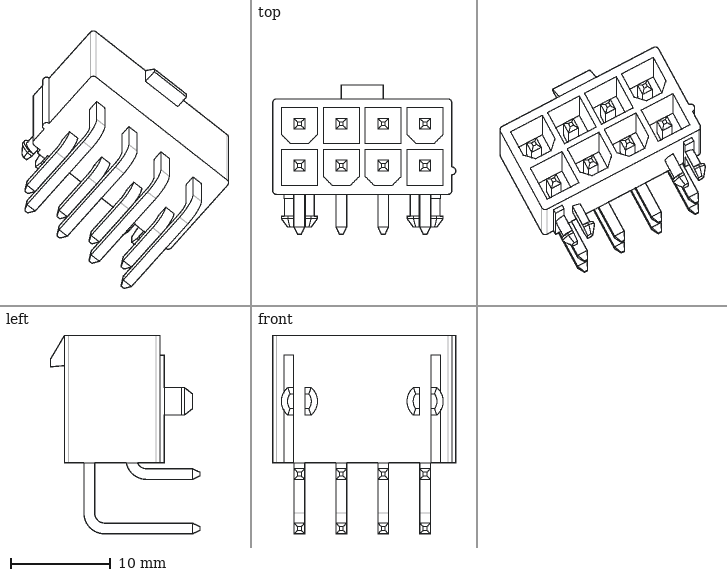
import cadquery as cq
import math


columns = 4
pitch = 4.2
total_height = 19.93

body_width = 18.0
body_depth = 9.6
body_height = 12.8
corner_radius = 0.4
key_radius = 0.4
key_from_front = 2.37

socket_size = 3.6
socket_depth = 9.96
socket_chamfer = 0.92

pin_size = 1.1
pin_row_shift = 0.2
pin_bend_inner_radius = 1.0
pin_reach = 4.0
pin_tip_length = 0.75
pin_tip_size = 0.38
pin_top_recess = 3.19
pin_leg_spacing = 5.46

latch_width = 4.23
latch_reach = 1.4
latch_ramp_height = 2.37
latch_tip_bottom = 3.17
latch_root_bottom = 3.05

peg_shaft_radius = 1.51
peg_head_radius = 1.81
peg_end_radius = 1.2
peg_half_height = 1.4
peg_end_half_height = 0.74
peg_shaft_length = 2.17
peg_taper_start = 2.43
peg_length = 3.27
peg_slot = 1.15
peg_from_top = 6.62
rib_width = 0.98
rib_thickness = 0.42
rib_from_top = 2.0

front_y = -body_depth / 2
back_y = body_depth / 2
side_x = body_width / 2
column_xs = [(i - (columns - 1) / 2) * pitch for i in range(columns)]
row_ys = [-pitch / 2, pitch / 2]
lower_leg_z = body_height - total_height + pin_size / 2
leg_zs = [lower_leg_z + pin_leg_spacing, lower_leg_z]
peg_x = column_xs[-1]
peg_z = body_height - peg_from_top


def housing():
    block = (
        cq.Workplane("XY")
        .rect(body_width, body_depth)
        .extrude(body_height)
        .edges("|Z")
        .fillet(corner_radius)
    )
    key = (
        cq.Workplane("XY")
        .center(side_x, front_y + key_from_front)
        .circle(key_radius)
        .extrude(body_height)
    )
    return block.union(key)


def socket(x, y, keyed):
    """Square cavity; a keyed one has its two front corners cut off."""
    cavity = (
        cq.Workplane("XY", origin=(x, y, body_height - socket_depth))
        .rect(socket_size, socket_size)
        .extrude(socket_depth)
    )
    if keyed:
        cavity = cavity.edges("|Z and <Y").chamfer(socket_chamfer)
    return cavity


def pin_tip(plane):
    """Blunt pyramid that starts on the given plane and narrows along its normal."""
    return (
        cq.Workplane(plane)
        .rect(pin_size, pin_size)
        .workplane(offset=pin_tip_length)
        .rect(pin_tip_size, pin_tip_size)
        .loft(ruled=True)
    )


def pin(x, y, leg_z):
    """Upright square pin, bent forward into a horizontal leg, pointed at both ends."""
    bend_radius = pin_bend_inner_radius + pin_size / 2
    bend_offset = bend_radius * (1 - math.sqrt(0.5))
    top_z = body_height - pin_top_recess - pin_tip_length
    leg_end_y = front_y - pin_reach + pin_tip_length
    path = (
        cq.Workplane("YZ", origin=(x, 0, 0))
        .moveTo(y, top_z)
        .lineTo(y, leg_z + bend_radius)
        .threePointArc((y - bend_offset, leg_z + bend_offset), (y - bend_radius, leg_z))
        .lineTo(leg_end_y, leg_z)
    )
    bar = cq.Workplane("XY", origin=(x, y, top_z)).rect(pin_size, pin_size).sweep(path)
    top_tip = pin_tip(cq.Plane((x, y, top_z), (1, 0, 0), (0, 0, 1)))
    leg_tip = pin_tip(cq.Plane((x, leg_end_y, leg_z), (1, 0, 0), (0, -1, 0)))
    return bar.union(top_tip).union(leg_tip)


def latch():
    return (
        cq.Workplane("YZ", origin=(-latch_width / 2, 0, 0))
        .moveTo(back_y, body_height)
        .lineTo(back_y + latch_reach, body_height - latch_ramp_height)
        .lineTo(back_y + latch_reach, body_height - latch_tip_bottom)
        .lineTo(back_y, body_height - latch_root_bottom)
        .close()
        .extrude(latch_width)
    )


def peg(x):
    """Barbed round peg with flattened top and bottom, split by a vertical slot."""
    turned = (
        cq.Workplane("XY")
        .lineTo(peg_shaft_radius, 0)
        .lineTo(peg_shaft_radius, -peg_shaft_length)
        .lineTo(peg_head_radius, -peg_shaft_length)
        .lineTo(peg_head_radius, -peg_taper_start)
        .lineTo(peg_end_radius, -peg_length)
        .lineTo(0, -peg_length)
        .close()
        .revolve(360, (0, 0, 0), (0, 1, 0))
    )
    flattened = (
        cq.Workplane("YZ")
        .moveTo(0, peg_half_height)
        .lineTo(-peg_taper_start, peg_half_height)
        .lineTo(-peg_length, peg_end_half_height)
        .lineTo(-peg_length, -peg_end_half_height)
        .lineTo(-peg_taper_start, -peg_half_height)
        .lineTo(0, -peg_half_height)
        .close()
        .extrude(peg_head_radius, both=True)
    )
    slot = cq.Workplane("XY").box(peg_slot, 2 * peg_length, 2 * peg_head_radius)
    return turned.intersect(flattened).cut(slot).translate((x, front_y, peg_z))


def standoff_rib(side):
    """Rib along the outer edge of the peg slot; side is -1 or +1 in X."""
    rib_x = side * (peg_x + (peg_slot + rib_width) / 2)
    rib_height = body_height - rib_from_top
    return (
        cq.Workplane("XY", origin=(rib_x, front_y - rib_thickness / 2, 0))
        .rect(rib_width, rib_thickness)
        .extrude(rib_height)
    )


result = housing().union(latch())
for side in (-1, 1):
    result = result.union(peg(side * peg_x)).union(standoff_rib(side))

for row, y in enumerate(row_ys):
    for column, x in enumerate(column_xs):
        outer_column = column in (0, columns - 1)
        back_row = row == 1
        result = result.cut(socket(x, y, keyed=outer_column == back_row))

for y, leg_z in zip(row_ys, leg_zs):
    for x in column_xs:
        result = result.union(pin(x, y + pin_row_shift, leg_z))